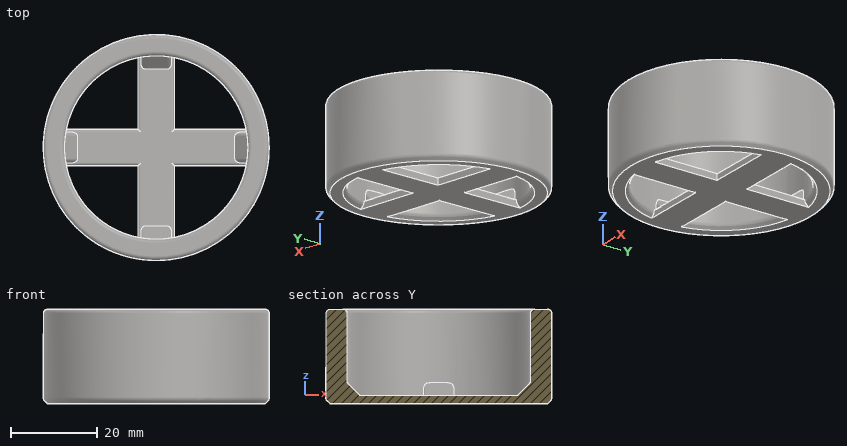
import cadquery as cq

outer_diameter = 52.5
bore_diameter = 42.5
ring_height = 22.0
edge_size = 1.0

arm_width = 8.5
floor_thickness = 2.0
arm_edge_radius = 0.7

block_width = arm_width - 2 * arm_edge_radius
block_foot_radius = 18.2
block_edge_radius = edge_size

outer_radius = outer_diameter / 2
bore_radius = bore_diameter / 2
wall_middle_radius = (outer_radius + bore_radius) / 2


def make_ring():
    """Ring with rounded top edges and bottom chamfers blended into the walls."""
    body = cq.Workplane("XY").circle(outer_radius).circle(bore_radius).extrude(ring_height)
    body = body.faces("<Z").edges().chamfer(edge_size)
    chamfer_tops = cq.selectors.BoxSelector(
        (-outer_diameter, -outer_diameter, edge_size / 2),
        (outer_diameter, outer_diameter, edge_size * 1.5),
    )
    body = body.edges("%CIRCLE").edges(chamfer_tops).fillet(edge_size)
    return body.faces(">Z").edges().fillet(edge_size)


def make_cross():
    """Two crossing arms with rounded upper edges, ending inside the ring wall."""
    length = 2 * wall_middle_radius
    cross = cq.Workplane("XY").rect(length, arm_width).extrude(floor_thickness)
    cross = cross.union(cq.Workplane("XY").rect(arm_width, length).extrude(floor_thickness))
    return cross.faces(">Z").edges().fillet(arm_edge_radius)


def make_block():
    """Block on the +X arm, rising outward at 45 degrees with rounded slope edges."""
    inner_radius = block_foot_radius - floor_thickness
    rise = wall_middle_radius - inner_radius
    block = (
        cq.Workplane("XZ")
        .moveTo(inner_radius, 0)
        .lineTo(wall_middle_radius, 0)
        .lineTo(wall_middle_radius, rise)
        .close()
        .extrude(block_width / 2, both=True)
    )
    slope_sides = block.edges("not(#X or #Z)")
    return slope_sides.fillet(block_edge_radius)


result = make_ring().union(make_cross())
block = make_block()
for quarter_turn in range(4):
    result = result.union(block.rotate((0, 0, 0), (0, 0, 1), 90 * quarter_turn))